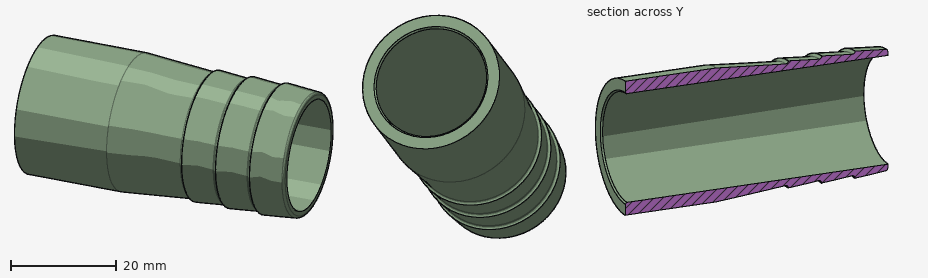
import cadquery as cq
import math

length = 55.0
pipe_diameter = 26.9
pipe_radius = pipe_diameter / 2
pipe_length = 19.0
bore_radius = 10.85
mouth_chamfer = 0.35

barb_count = 3
barb_pitch = 7.0
first_crest_x = 34.1
crest_radius = 12.75
root_radius = 12.2
cone_slope = math.tan(math.radians(5))
step_fillet = 0.5
tip_round = 0.5

cone_length = (crest_radius - root_radius) / cone_slope
last_crest_x = first_crest_x + (barb_count - 1) * barb_pitch
tip_radius = crest_radius - (length - last_crest_x) * cone_slope


def add_step(profile, crest_x):
    """Run to the foot of a barb, round up through the fillet and climb to the crest."""
    fillet_start_x = crest_x - step_fillet
    fillet_top_radius = root_radius + step_fillet
    diagonal = step_fillet * math.sqrt(0.5)
    arc_middle = (fillet_start_x + diagonal, fillet_top_radius - diagonal)
    return (
        profile.lineTo(fillet_start_x, root_radius)
        .threePointArc(arc_middle, (crest_x, fillet_top_radius))
        .lineTo(crest_x, crest_radius)
    )


profile = (
    cq.Workplane("XZ")
    .moveTo(0, bore_radius)
    .lineTo(0, pipe_radius)
    .lineTo(pipe_length, pipe_radius)
)
profile = add_step(profile, first_crest_x)
for barb in range(1, barb_count):
    crest_x = first_crest_x + barb * barb_pitch
    cone_end_x = crest_x - barb_pitch + cone_length
    profile = add_step(profile.lineTo(cone_end_x, root_radius), crest_x)
profile = profile.lineTo(length, tip_radius).lineTo(length, bore_radius).close()

tube = profile.revolve(360, (0, 0, 0), (1, 0, 0))

tube = tube.faces("<X").edges(cq.selectors.RadiusNthSelector(0)).chamfer(mouth_chamfer)
tube = tube.faces(">X").edges(cq.selectors.RadiusNthSelector(-1)).fillet(tip_round)

result = tube.translate((-length / 2, 0, 0))